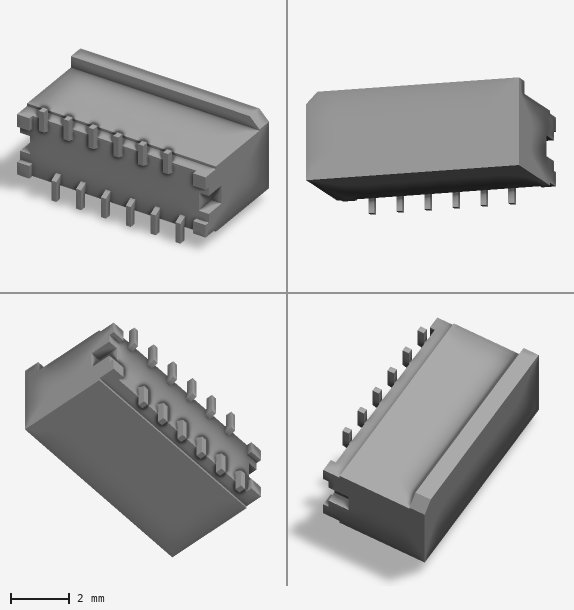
import cadquery as cq

body_width = 7.6
body_height = 2.6
face_y = -3.8
step_y = -3.35
step_depth = 0.1

rib_depth = 0.6
rib_height = 0.45
rib_bevel = 0.4

pad_size = 0.5
pad_height = 0.2

notch_width = 0.4
notch_height = 0.72
notch_depth = 0.8

pins_per_row = 6
pin_pitch = 1.0
pin_width = 0.2
leg_front_y = -4.1
leg_thickness = 0.25
neck_thickness = 0.35
upper_tip_z = 3.0
upper_heel_z = 2.10
upper_heel_rise = 0.10
lower_tip_z = -0.4
lower_heel_z = 0.545
lower_heel_drop = 0.155
pin_embed = 0.3

body_right = body_width / 2
core_bottom = step_depth
core_top = body_height - step_depth


def box(x_min, x_max, y_min, y_max, z_min, z_max):
    """Axis-aligned block between the given limits."""
    size = (x_max - x_min, y_max - y_min, z_max - z_min)
    return cq.Workplane("XY").box(*size, centered=False).translate((x_min, y_min, z_min))


def make_housing():
    """Side profile swept across the width, with one rib corner bevelled."""
    rib_top = body_height + rib_height
    profile = [
        (0, 0),
        (0, rib_top),
        (-rib_depth, rib_top),
        (-rib_depth, body_height),
        (step_y, body_height),
        (step_y, core_top),
        (face_y, core_top),
        (face_y, core_bottom),
        (step_y, core_bottom),
        (step_y, 0),
    ]
    housing = cq.Workplane("YZ").polyline(profile).close().extrude(body_right, both=True)
    return housing.faces(">Z").edges(">X").chamfer(rib_bevel)


def make_pads():
    """Four corner pads standing out from the terminal face."""
    pads = cq.Workplane("XY")
    for x_min in (-body_right, body_right - pad_size):
        for z_min in (core_bottom, core_top - pad_size):
            pads = pads.add(
                box(x_min, x_min + pad_size, face_y - pad_height, face_y, z_min, z_min + pad_size)
            )
    return pads.combine()


def make_notches():
    """Rectangular notches open to the terminal face and the housing ends."""
    z_min = (body_height - notch_height) / 2
    notches = cq.Workplane("XY")
    for x_min in (-body_right, body_right - notch_width):
        notches = notches.add(
            box(x_min, x_min + notch_width, face_y, face_y + notch_depth, z_min, z_min + notch_height)
        )
    return notches.combine()


def make_pin_row(first_x, tip_z, heel_z, heel_front_z):
    """Row of pins, each leaving the face and bending along Z to its tip."""
    buried_y = face_y + pin_embed
    leg_back_y = leg_front_y + leg_thickness
    tip_direction = 1 if tip_z > heel_z else -1
    neck_z = heel_z + tip_direction * neck_thickness
    profile = [
        (buried_y, heel_z),
        (face_y, heel_z),
        (leg_front_y, heel_front_z),
        (leg_front_y, tip_z),
        (leg_back_y, tip_z),
        (leg_back_y, neck_z),
        (buried_y, neck_z),
    ]
    pin = cq.Workplane("YZ").polyline(profile).close().extrude(pin_width / 2, both=True)
    row = cq.Workplane("XY")
    for index in range(pins_per_row):
        row = row.add(pin.translate((first_x + index * pin_pitch, 0, 0)))
    return row.combine()


total_span = (pins_per_row - 0.5) * pin_pitch
upper_first_x = -total_span / 2
lower_first_x = upper_first_x + pin_pitch / 2

upper_heel_front_z = upper_heel_z + upper_heel_rise
lower_heel_front_z = lower_heel_z - lower_heel_drop

housing_body = make_housing().union(make_pads()).cut(make_notches())
upper_pins = make_pin_row(upper_first_x, upper_tip_z, upper_heel_z, upper_heel_front_z)
lower_pins = make_pin_row(lower_first_x, lower_tip_z, lower_heel_z, lower_heel_front_z)

result = housing_body.union(upper_pins).union(lower_pins)